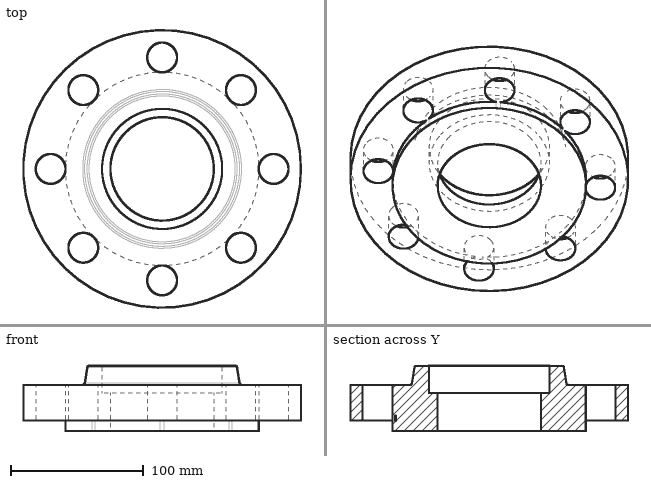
import cadquery as cq
import math

flange_diameter = 209.55
flange_thickness = 27.0

raised_face_diameter = 146.05
raised_face_height = 7.92

overall_height = 49.35
hub_base_diameter = 117.35
hub_taper_angle = 9.0
hub_base_fillet = 1.5
hub_top_fillet = 1.5

bore_diameter = 77.9
socket_diameter = 90.7
socket_depth = 20.5

bolt_hole_count = 8
bolt_hole_diameter = 22.352
bolt_circle_diameter = 168.148

flange_top = raised_face_height + flange_thickness
hub_height = overall_height - flange_top
hub_top_diameter = hub_base_diameter - 2 * hub_height * math.tan(math.radians(hub_taper_angle))


def cylinder(diameter, bottom, top):
    """Vertical cylinder on the flange axis between two levels."""
    return cq.Workplane("XY").workplane(offset=bottom).circle(diameter / 2).extrude(top - bottom)


def make_hub():
    """Tapered hub with a rounded top rim, standing on the plate."""
    hub_profile = [
        (0, flange_top),
        (hub_base_diameter / 2, flange_top),
        (hub_top_diameter / 2, overall_height),
        (0, overall_height),
    ]
    hub = cq.Workplane("XZ").polyline(hub_profile).close().revolve(360, (0, 0, 0), (0, 1, 0))
    return hub.faces(">Z").edges().fillet(hub_top_fillet)


def fillet_hub_base(body):
    """Round the inside corner where the hub meets the plate."""
    plate_top_face = body.faces("|Z").faces(">Z[-2]")
    hub_base_edge = plate_top_face.edges(cq.selectors.RadiusNthSelector(0))
    return hub_base_edge.fillet(hub_base_fillet)


def make_bolt_holes():
    """Through holes on the bolt circle, which also slightly nick the rim of the raised face."""
    return (
        cq.Workplane("XY")
        .polarArray(bolt_circle_diameter / 2, 0, 360, bolt_hole_count)
        .circle(bolt_hole_diameter / 2)
        .extrude(overall_height)
    )


raised_face = cylinder(raised_face_diameter, 0, raised_face_height)
plate = cylinder(flange_diameter, raised_face_height, flange_top)
bore = cylinder(bore_diameter, 0, overall_height)
socket = cylinder(socket_diameter, overall_height - socket_depth, overall_height)

body = fillet_hub_base(plate.union(make_hub())).union(raised_face)
result = body.cut(bore).cut(socket).cut(make_bolt_holes())